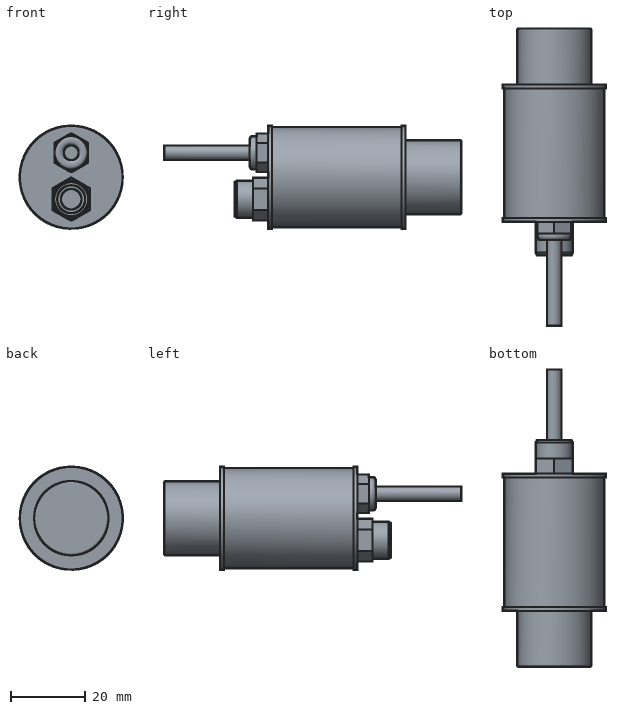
import cadquery as cq
import math

overall_length = 79.9

housing_diameter = 27.0
flange_diameter = 27.7
flange_thickness = 1.0
housing_length = 36.9
nose_diameter = 20.0
nose_length = 15.0
nose_fillet = 0.55

gland_height = 6.55
gland_hex_width = 9.0
gland_hex_length = 3.1
gland_collar_diameter = 9.0
gland_collar_length = 1.8
gland_collar_fillet = 0.95
gland_mouth_fillet = 1.1
cable_diameter = 4.0
cable_length = overall_length - nose_length - housing_length

socket_height = -5.9
socket_hex_width = 10.0
socket_hex_length = 4.1
socket_diameter = 10.0
socket_length = 4.95
socket_rim_chamfer_length = 0.7
socket_rim_chamfer_width = 0.4
socket_mouth_diameter = 7.5
socket_groove_depth = 4.0
socket_core_diameter = 5.5
socket_core_setback = 0.95


def rear_plane(height=0.0, distance=0.0):
    """Plane facing -Y, at the given height and distance behind the rear face."""
    return cq.Workplane("XZ", origin=(0, -distance, height))


def cylinder(diameter, length, height=0.0, distance=0.0):
    """Cylinder extending along -Y, or along +Y for a negative length."""
    return rear_plane(height, distance).circle(diameter / 2).extrude(length)


def hex_nut(width, length, height):
    """Hexagon with vertical side flats and corners at top and bottom."""
    corner_turn = 30
    corner_diameter = width / math.cos(math.radians(corner_turn))
    plane = rear_plane(height).transformed(rotate=(0, 0, corner_turn))
    return plane.polygon(6, corner_diameter).extrude(length)


def make_housing():
    housing = cylinder(housing_diameter, -housing_length)
    for start in (0, housing_length - flange_thickness):
        housing = housing.union(cylinder(flange_diameter, -flange_thickness, distance=-start))
    nose = cylinder(nose_diameter, -nose_length, distance=-housing_length)
    return housing.union(nose.faces(">Y").edges().fillet(nose_fillet))


def make_gland():
    end = gland_hex_length + gland_collar_length
    nut = hex_nut(gland_hex_width, gland_hex_length, gland_height)
    collar = cylinder(gland_collar_diameter, gland_collar_length, gland_height, gland_hex_length)
    collar = collar.faces("<Y").edges().fillet(gland_collar_fillet)
    collar = collar.cut(cylinder(cable_diameter, end, gland_height))
    collar = collar.faces("<Y").edges(cq.selectors.RadiusNthSelector(0)).fillet(gland_mouth_fillet)
    cable = cylinder(cable_diameter, cable_length, gland_height)
    return nut.union(collar).union(cable)


def make_socket():
    end = socket_hex_length + socket_length
    nut = hex_nut(socket_hex_width, socket_hex_length, socket_height)
    barrel_length = socket_length - socket_rim_chamfer_length
    barrel = cylinder(socket_diameter, barrel_length, socket_height, socket_hex_length)
    rim_cone = (
        rear_plane(socket_height, end).circle(socket_diameter / 2 - socket_rim_chamfer_width)
        .workplane(offset=-socket_rim_chamfer_length).circle(socket_diameter / 2)
        .loft(combine=True)
    )
    barrel = barrel.union(rim_cone)
    bore = cylinder(socket_mouth_diameter, -socket_groove_depth, socket_height, end)
    core_length = end - socket_core_setback
    core = cylinder(socket_core_diameter, core_length, socket_height)
    return nut.union(barrel).cut(bore).union(core)



result = make_housing().union(make_gland()).union(make_socket())